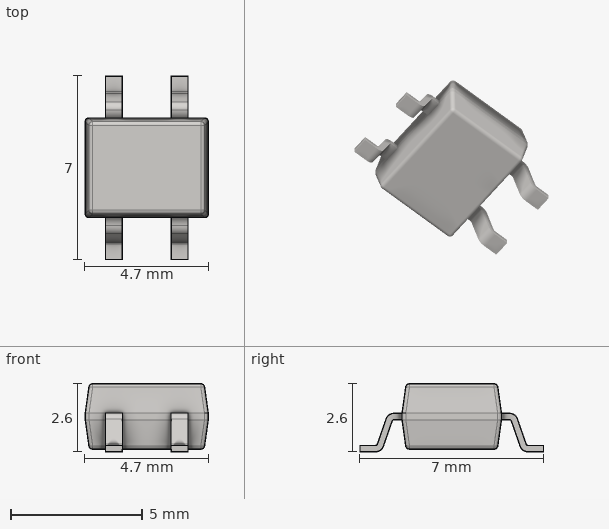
import math

import cadquery as cq

body_length = 4.7
body_width = 3.8
body_height = 2.5
standoff = 0.1
draft_angle = 8.0
edge_radius = 0.15

lead_span = 7.0
lead_pitch = 2.5
lead_width = 0.65
lead_thickness = 0.25
foot_length = 0.59
shoulder_reach = 2.2
bend_radius = 0.075

band_height = lead_thickness
taper_height = (body_height - band_height) / 2
band_bottom = standoff + taper_height
band_top = band_bottom + band_height
lead_tip = lead_span / 2


def make_body():
    """Band with a tapered half on each side, all outer edges rounded."""
    band = (
        cq.Workplane("XY")
        .workplane(offset=band_bottom)
        .rect(body_length, body_width)
        .extrude(band_height)
    )
    body = (
        band.faces(">Z").wires().toPending()
        .extrude(taper_height, taper=draft_angle)
        .faces("<Z").workplane()
        .rect(body_length, body_width)
        .extrude(taper_height, taper=draft_angle)
    )
    corners = body.edges("not(#Z)")
    rims = body.edges("(>Z) or (<Z)")
    return body.newObject(corners.vals() + rims.vals()).fillet(edge_radius)


def make_lead(x_center):
    """Front lead: foot, lower bend, sloping leg, upper bend and shoulder into the body."""
    outer_radius = bend_radius + lead_thickness
    lower_y = -lead_tip + foot_length
    lower_z = outer_radius
    upper_y = -shoulder_reach
    upper_z = band_top - outer_radius

    center_distance = math.hypot(upper_y - lower_y, upper_z - lower_z)
    center_angle = math.atan2(upper_z - lower_z, upper_y - lower_y)
    leg_angle = center_angle + math.asin((bend_radius + outer_radius) / center_distance)

    def lower_bend(radius, angle):
        return (lower_y + radius * math.sin(angle), lower_z - radius * math.cos(angle))

    def upper_bend(radius, angle):
        return (upper_y - radius * math.sin(angle), upper_z + radius * math.cos(angle))

    half_angle = leg_angle / 2
    return (
        cq.Workplane("YZ")
        .workplane(offset=x_center - lead_width / 2)
        .moveTo(-lead_tip, 0)
        .lineTo(*lower_bend(outer_radius, 0))
        .threePointArc(lower_bend(outer_radius, half_angle), lower_bend(outer_radius, leg_angle))
        .lineTo(*upper_bend(bend_radius, leg_angle))
        .threePointArc(upper_bend(bend_radius, half_angle), upper_bend(bend_radius, 0))
        .lineTo(0, band_bottom)
        .lineTo(0, band_top)
        .lineTo(*upper_bend(outer_radius, 0))
        .threePointArc(upper_bend(outer_radius, half_angle), upper_bend(outer_radius, leg_angle))
        .lineTo(*lower_bend(bend_radius, leg_angle))
        .threePointArc(lower_bend(bend_radius, half_angle), lower_bend(bend_radius, 0))
        .lineTo(-lead_tip, lead_thickness)
        .close()
        .extrude(lead_width)
    )


result = make_body()
for side in (-1, 1):
    front_lead = make_lead(side * lead_pitch / 2)
    result = result.union(front_lead).union(front_lead.mirror("XZ"))